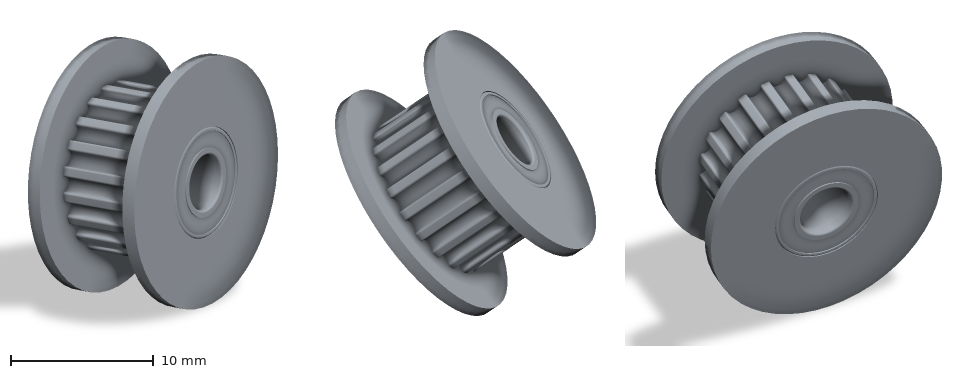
import cadquery as cq
import math

FLANGE_RADIUS = 9.0
PULLEY_WIDTH = 9.0
FLANGE_THICKNESS = 1.0

TOOTH_COUNT = 20
TIP_RADIUS = 6.08
GROOVE_RADIUS = 0.55
GROOVE_CENTRE_RADIUS = 5.92
TOOTH_EDGE_RADIUS = 0.15

BEARING_RADIUS = 4.0
BORE_RADIUS = 2.0
BEARING_EDGE_RADIUS = 0.16
SHIELD_INNER_RADIUS = 2.5
SHIELD_OUTER_RADIUS = 3.7
SHIELD_RECESS = 0.09

HALF_WIDTH = PULLEY_WIDTH / 2
TRACK_WIDTH = PULLEY_WIDTH - 2 * FLANGE_THICKNESS
PITCH_ANGLE = 2 * math.pi / TOOTH_COUNT


def polar(radius, angle):
    """Point at a radius and angle around the pulley axis."""
    return (radius * math.cos(angle), radius * math.sin(angle))


def point_toward(start, target, distance):
    """Point at a distance from start along the line to target."""
    share = distance / math.dist(start, target)
    return tuple(s + share * (t - s) for s, t in zip(start, target))


def arc_middle(centre, start, end):
    """Middle point of the short tooth edge arc from start to end."""
    chord_middle = tuple((s + e) / 2 for s, e in zip(start, end))
    return point_toward(centre, chord_middle, TOOTH_EDGE_RADIUS)


def make_track():
    """Toothed track: round grooves blended into the tooth tips, one groove on the +Y axis."""
    edge_centre_radius = TIP_RADIUS - TOOTH_EDGE_RADIUS
    edge_angle = math.acos(
        (edge_centre_radius**2 + GROOVE_CENTRE_RADIUS**2 - (GROOVE_RADIUS + TOOTH_EDGE_RADIUS) ** 2)
        / (2 * edge_centre_radius * GROOVE_CENTRE_RADIUS)
    )
    outline = cq.Workplane("YZ").moveTo(*polar(TIP_RADIUS, -edge_angle))
    for tooth in range(TOOTH_COUNT):
        groove_angle = tooth * PITCH_ANGLE
        groove_centre = polar(GROOVE_CENTRE_RADIUS, groove_angle)
        groove_bottom = polar(GROOVE_CENTRE_RADIUS - GROOVE_RADIUS, groove_angle)
        near_edge = polar(edge_centre_radius, groove_angle - edge_angle)
        far_edge = polar(edge_centre_radius, groove_angle + edge_angle)
        near_blend = point_toward(near_edge, groove_centre, TOOTH_EDGE_RADIUS)
        far_blend = point_toward(far_edge, groove_centre, TOOTH_EDGE_RADIUS)
        far_tip = polar(TIP_RADIUS, groove_angle + edge_angle)
        tooth_middle = polar(TIP_RADIUS, groove_angle + PITCH_ANGLE / 2)
        next_tip = polar(TIP_RADIUS, groove_angle + PITCH_ANGLE - edge_angle)
        near_tip = polar(TIP_RADIUS, groove_angle - edge_angle)
        outline = (
            outline.threePointArc(arc_middle(near_edge, near_tip, near_blend), near_blend)
            .threePointArc(groove_bottom, far_blend)
            .threePointArc(arc_middle(far_edge, far_blend, far_tip), far_tip)
            .threePointArc(tooth_middle, next_tip)
        )
    return outline.close().extrude(TRACK_WIDTH / 2, both=True)


def make_flange(side):
    """Flat disc outside the track on the -X (-1) or +X (+1) side."""
    return (
        cq.Workplane("YZ", origin=(side * TRACK_WIDTH / 2, 0, 0))
        .circle(FLANGE_RADIUS)
        .extrude(side * FLANGE_THICKNESS)
    )


def make_bearing():
    """Bearing ring with rounded edges and a shallow shield recess on each face."""
    bearing = (
        cq.Workplane("YZ")
        .circle(BEARING_RADIUS)
        .circle(BORE_RADIUS)
        .extrude(HALF_WIDTH, both=True)
        .faces("<X or >X")
        .edges()
        .fillet(BEARING_EDGE_RADIUS)
    )
    for side in (-1, 1):
        recess = (
            cq.Workplane("YZ", origin=(side * HALF_WIDTH, 0, 0))
            .circle(SHIELD_OUTER_RADIUS)
            .circle(SHIELD_INNER_RADIUS)
            .extrude(-side * SHIELD_RECESS)
        )
        bearing = bearing.cut(recess)
    return bearing


def make_seat():
    """Round space through the pulley body that the bearing fills."""
    return cq.Workplane("YZ").circle(BEARING_RADIUS).extrude(HALF_WIDTH, both=True)


body = make_track().union(make_flange(-1)).union(make_flange(1))
result = body.cut(make_seat()).union(make_bearing())